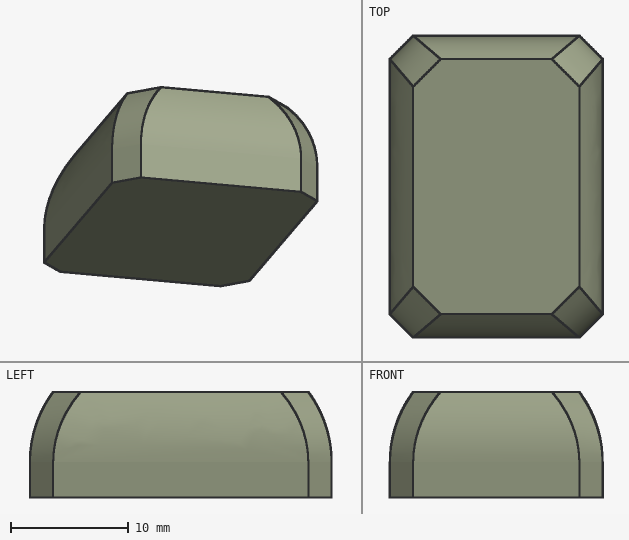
import cadquery as cq
import math

WIDTH = 18.2
LENGTH = 25.8
HEIGHT = 9.04

BASE_HEIGHT = 3.0
CORNER_CUT = 2.0
SIDE_INSET = 2.0
TOP_CORNER_CUT = 2.35

DOME_HEIGHT = HEIGHT - BASE_HEIGHT
DOME_RADIUS = (DOME_HEIGHT**2 + SIDE_INSET**2) / (2 * SIDE_INSET)
DOME_SWEEP = math.degrees(math.asin(DOME_HEIGHT / DOME_RADIUS))

CORNER_REACH = (WIDTH / 2 + LENGTH / 2 - CORNER_CUT) / math.sqrt(2)
CORNER_INSET = (2 * SIDE_INSET + TOP_CORNER_CUT - CORNER_CUT) / math.sqrt(2)

BAR_LENGTH = 2 * (WIDTH + LENGTH)


def domed_bar(half_width, inset, direction):
    """Long bar whose sides rise straight, then curve inward by the inset.

    The curve is the side arc, stretched horizontally to suit the inset. The
    direction is the angle in degrees from +X to the line across the bar.
    """
    horizontal_radius = DOME_RADIUS * inset / SIDE_INSET
    return (
        cq.Workplane("XZ")
        .lineTo(half_width, 0)
        .lineTo(half_width, BASE_HEIGHT)
        .ellipseArc(horizontal_radius, DOME_RADIUS, 0, DOME_SWEEP)
        .lineTo(0, HEIGHT)
        .mirrorY()
        .extrude(BAR_LENGTH)
        .translate((0, BAR_LENGTH / 2, 0))
        .rotate((0, 0, 0), (0, 0, 1), direction)
    )


def build_cap():
    """Solid cap: the volume shared by bars across the width, the length and both diagonals."""
    cap = domed_bar(WIDTH / 2, SIDE_INSET, 0)
    cap = cap.intersect(domed_bar(LENGTH / 2, SIDE_INSET, 90))
    for diagonal in (45, 135):
        cap = cap.intersect(domed_bar(CORNER_REACH, CORNER_INSET, diagonal))
    return cap


result = build_cap()